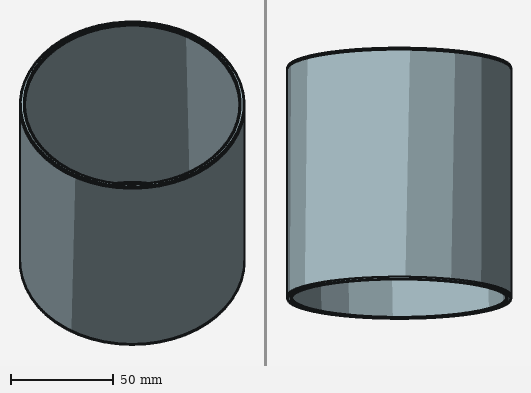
import cadquery as cq

height = 115
outer_diameter = 110.0
wall = 2.5

outer_chamfer_width = 0.4
outer_chamfer_height = 1.0
inner_chamfer = 0.6

outer_radius = outer_diameter / 2
inner_radius = outer_radius - wall
end_z = height / 2

upper_end = [
    (outer_radius, end_z - outer_chamfer_height),
    (outer_radius - outer_chamfer_width, end_z),
    (inner_radius + inner_chamfer, end_z),
    (inner_radius, end_z - inner_chamfer),
]

lower_end = [(radius, -z) for radius, z in reversed(upper_end)]

result = (
    cq.Workplane("XZ")
    .polyline(upper_end + lower_end)
    .close()
    .revolve(360, (0, 0, 0), (0, 1, 0))
)